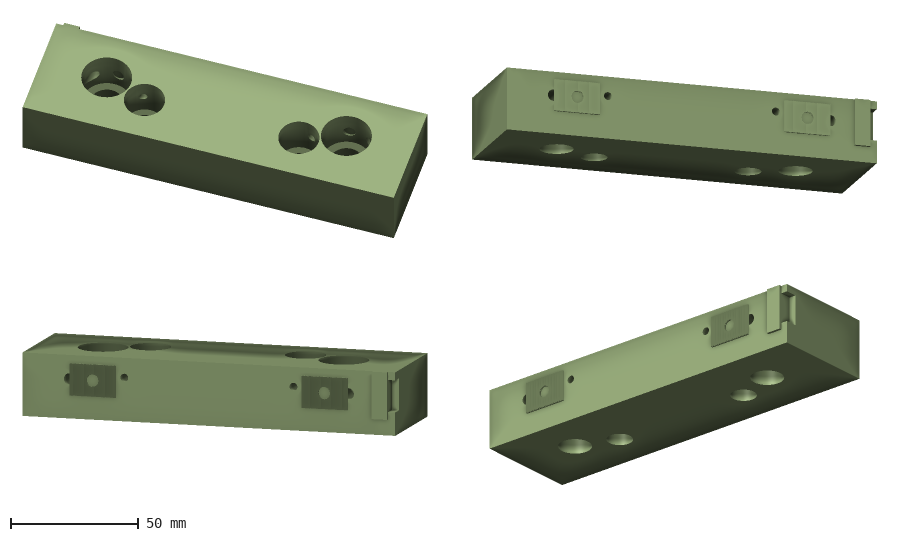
import cadquery as cq

LENGTH = 152.4
WIDTH = 44.0
HEIGHT = 25.3
PROJECTION = 1.2

LARGE_BORE_X = 27.0
LARGE_BORE_Y = -20.0
LARGE_BORE_DIA = 13.4
LARGE_HEAD_DIA = 20.0
SMALL_BORE_X = 44.5
SMALL_BORE_Y = -26.4
SMALL_BORE_DIA = 10.5
SMALL_HEAD_DIA = 16.2
HEAD_DEPTH = 16.0

SLOT_HEIGHT = 12.8
SLOT_DEPTH = 5.0
SLOT_LENGTH = 16.0
SLOT_CENTRE_Z = 15.7

STOP_SETBACK = 2.9
STOP_PLATE_LENGTH = 6.4
STOP_PLATE_HEIGHT = 18.9

PAD_X = 28.8
PAD_LENGTH = 18.9
PAD_HEIGHT = SLOT_HEIGHT
TOOTH_COUNT = 44
TOOTH_DEPTH = 1.0
PIN_DIA = 4.9
PIN_RECESS = 0.5

SPARE_HOLE_X = 19.2
SPARE_HOLE_DIA = 4.5
AIR_HOLE_X = 41.6
AIR_HOLE_Z = 17.4
AIR_HOLE_DIA = 3.2


def both_ends(x):
    """The x position and its mirror about the middle of the length."""
    return (x, LENGTH - x)


def box(x, y, z, x_size, y_size, z_size):
    """Box from its lowest corner and sizes."""
    return cq.Workplane("XY").box(x_size, y_size, z_size, centered=False).translate((x, y, z))


def rod_along_y(x, z, diameter, y_start, y_end):
    """Round rod parallel to Y."""
    rod = cq.Solid.makeCylinder(
        diameter / 2, y_end - y_start, cq.Vector(x, y_start, z), cq.Vector(0, 1, 0))
    return cq.Workplane("XY").add(rod)


def counterbored_holes(body, x, y, hole_dia, head_dia):
    points = [(end_x, y) for end_x in both_ends(x)]
    top = cq.Workplane("XY", origin=(0, 0, HEIGHT)).pushPoints(points)
    return body.cut(top.circle(hole_dia / 2).extrude(-HEIGHT)).cut(
        top.circle(head_dia / 2).extrude(-HEAD_DEPTH))


def make_block():
    body = box(0, -WIDTH, 0, LENGTH, WIDTH, HEIGHT)
    body = counterbored_holes(body, LARGE_BORE_X, LARGE_BORE_Y, LARGE_BORE_DIA, LARGE_HEAD_DIA)
    body = counterbored_holes(body, SMALL_BORE_X, SMALL_BORE_Y, SMALL_BORE_DIA, SMALL_HEAD_DIA)
    slot_z = SLOT_CENTRE_Z - SLOT_HEIGHT / 2
    body = body.cut(box(0, -SLOT_DEPTH, slot_z, SLOT_LENGTH, SLOT_DEPTH, SLOT_HEIGHT))
    for hole_x, hole_z, diameter, depth_y in (
        (PAD_X, SLOT_CENTRE_Z, PIN_DIA, LARGE_BORE_Y),
        (SPARE_HOLE_X, SLOT_CENTRE_Z, SPARE_HOLE_DIA, LARGE_BORE_Y),
        (AIR_HOLE_X, AIR_HOLE_Z, AIR_HOLE_DIA, SMALL_BORE_Y),
    ):
        for end_x in both_ends(hole_x):
            body = body.cut(rod_along_y(end_x, hole_z, diameter, depth_y, 0))
    return body


def make_stop():
    stem_length = SLOT_LENGTH - STOP_SETBACK
    stem = box(STOP_SETBACK, -SLOT_DEPTH, SLOT_CENTRE_Z - SLOT_HEIGHT / 2,
               stem_length, SLOT_DEPTH, SLOT_HEIGHT)
    plate = box(STOP_SETBACK, 0, HEIGHT - STOP_PLATE_HEIGHT,
                STOP_PLATE_LENGTH, PROJECTION, STOP_PLATE_HEIGHT)
    return stem.union(plate).clean()


def make_pad(centre_x):
    """Rectangular pad with upright V-shaped teeth on its outer face."""
    left = centre_x - PAD_LENGTH / 2
    pitch = PAD_LENGTH / TOOTH_COUNT
    root_y = PROJECTION - TOOTH_DEPTH
    outline = [(left, 0), (left, root_y)]
    for tooth in range(TOOTH_COUNT):
        outline.append((left + (tooth + 0.5) * pitch, PROJECTION))
        outline.append((left + (tooth + 1) * pitch, root_y))
    outline.append((left + PAD_LENGTH, 0))
    base = cq.Workplane("XY", origin=(0, 0, SLOT_CENTRE_Z - PAD_HEIGHT / 2))
    pad = base.polyline(outline).close().extrude(PAD_HEIGHT)
    return pad.cut(rod_along_y(centre_x, SLOT_CENTRE_Z, PIN_DIA, 0, PROJECTION))


def make_pin(centre_x):
    """Pin from just behind the large bore wall to the roots of the pad teeth."""
    inner_end = LARGE_BORE_Y + LARGE_HEAD_DIA / 2 + PIN_RECESS
    return rod_along_y(centre_x, SLOT_CENTRE_Z, PIN_DIA, inner_end, PROJECTION - TOOTH_DEPTH)


block = make_block()
stop = make_stop()
pads = [make_pad(x) for x in both_ends(PAD_X)]
pins = [make_pin(x) for x in both_ends(PAD_X)]

result = cq.Compound.makeCompound(
    [block.val(), stop.val()] + [pad.val() for pad in pads] + [pin.val() for pin in pins])